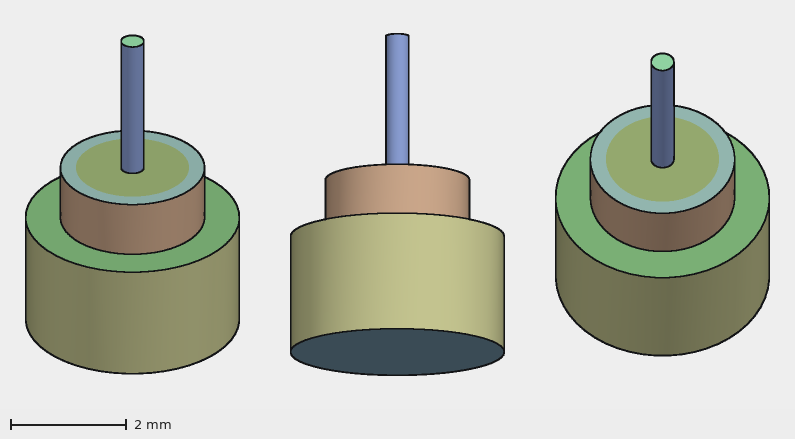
import cadquery as cq

body_diameter = 3.7
neck_diameter = 2.5
insert_diameter = 1.96
pin_diameter = 0.4

total_height = 5.6
body_height = 2.05
neck_height = 1.0

shoulder_z = body_height
neck_top_z = shoulder_z + neck_height


def cylinder(diameter, bottom_z, top_z):
    """Cylinder on the Z axis between two heights."""
    return cq.Workplane("XY").workplane(offset=bottom_z).circle(diameter / 2).extrude(top_z - bottom_z)


body = cylinder(body_diameter, 0, shoulder_z)
neck = cylinder(neck_diameter, shoulder_z, neck_top_z)
shell = body.union(neck)

insert = cylinder(insert_diameter, shoulder_z, neck_top_z)
shell = shell.cut(insert)

pin = cylinder(pin_diameter, neck_top_z, total_height)

result = shell.union(insert, clean=False).union(pin, clean=False)